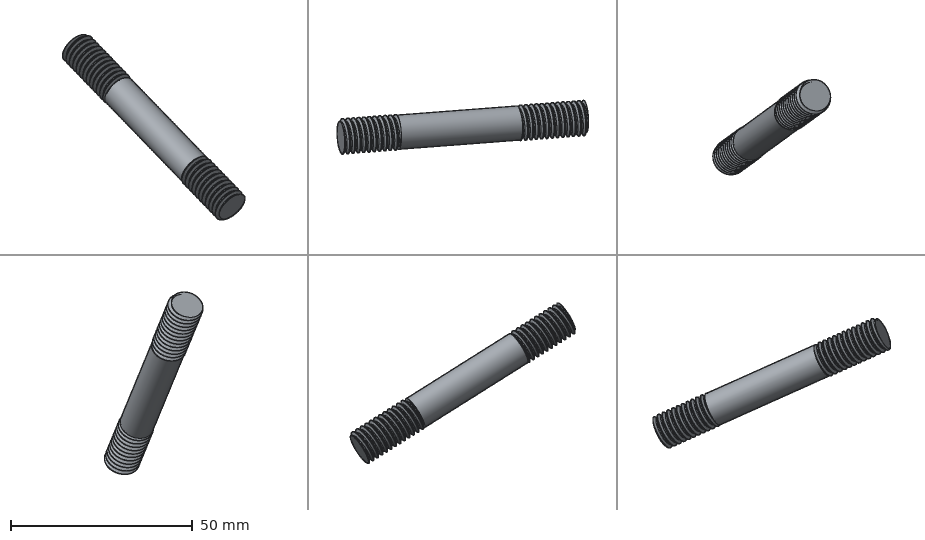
import cadquery as cq
import math

stud_length = 69.2
near_thread_length = 18.8
far_thread_length = 16.1
shank_diameter = 9.5
shank_length = stud_length - near_thread_length - far_thread_length
far_thread_start = near_thread_length + shank_length

root_diameter = 8.2
crest_diameter = 9.8
twelve_turn_length = 18.0
pitch = twelve_turn_length / 12
crest_width = pitch / 8
flank_angle = math.radians(30)
root_radius = root_diameter / 2
crest_radius = crest_diameter / 2
embed_depth = 0.2
spare_turns = 2

near_crest_offset = 1.3
far_crest_offset = 0.1


def cylinder_x(start, length, diameter):
    """A cylinder along X."""
    return cq.Workplane("YZ", origin=(start, 0, 0)).circle(diameter / 2).extrude(length)


def make_ridge(start, length):
    """A helical thread ridge whose first crest is on the +Z side at X = start."""
    inner_radius = root_radius - embed_depth
    half_crest = crest_width / 2
    half_base = half_crest + (crest_radius - inner_radius) * math.tan(flank_angle)
    helix = cq.Wire.makeHelix(
        pitch,
        length,
        root_radius,
        center=cq.Vector(start, 0, 0),
        dir=cq.Vector(1, 0, 0),
    )
    return (
        cq.Workplane("XZ", origin=(start, 0, 0))
        .polyline([
            (-half_base, inner_radius),
            (-half_crest, crest_radius),
            (half_crest, crest_radius),
            (half_base, inner_radius),
        ])
        .close()
        .sweep(cq.Workplane(obj=helix), isFrenet=True)
    )


def make_threaded_end(start, length, crest_offset):
    """A core with its thread in one solid, cut flat at both ends."""
    spare_length = spare_turns * pitch
    swept_turns = math.ceil(length / pitch) + 2 * spare_turns
    ridge = make_ridge(start + crest_offset - spare_length, swept_turns * pitch)
    core = cylinder_x(start - 2 * spare_length, length + 4 * spare_length, root_diameter)
    envelope = cylinder_x(start, length, 2 * crest_diameter)
    return core.union(ridge).intersect(envelope).solids()


def make_shank():
    """The plain cylinder between the threaded ends."""
    return cylinder_x(near_thread_length, shank_length, shank_diameter)


shank = make_shank()
threaded_ends = [
    make_threaded_end(start, length, crest_offset)
    for start, length, crest_offset in (
        (0, near_thread_length, near_crest_offset),
        (far_thread_start, far_thread_length, far_crest_offset),
    )
]
result = cq.Compound.makeCompound([shank.val(), *(end.val() for end in threaded_ends)])